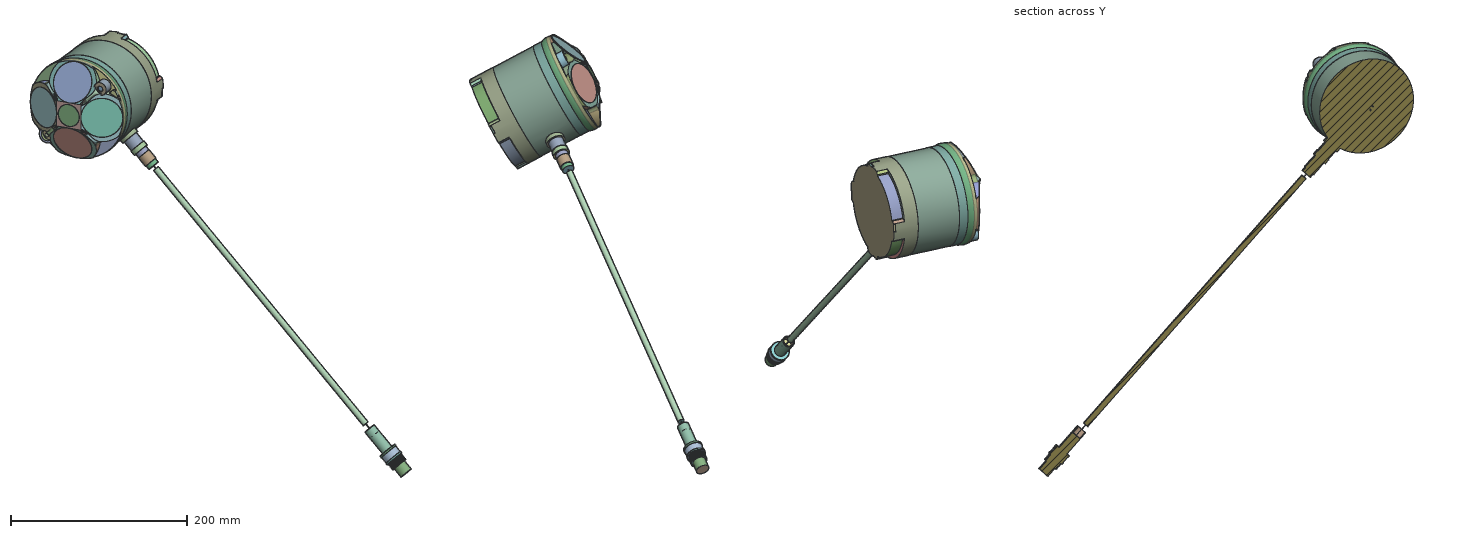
import cadquery as cq
import math


head_length = 126.5
back_ring_end = 30.5
body_end = 82.0
flare_start = 92.5
flange_start = 100.0
flange_front = 104.0
flange_diameter = 118.2
flange_radius = flange_diameter / 2
ring_radius = 57.5
body_step = 0.25
body_radius = ring_radius - body_step
flange_edge_inset = 0.5
clip_radius = flange_radius - flange_edge_inset

tab_count = 4
tab_width = 20.0
tab_length = 13.5
tab_height = 4.0
tab_flank_run = 3.0
catch_width = 9.0
catch_length = 2.5
catch_depth = 1.5

cup_count = 4
tilt = 25.0
cup_radius = 29.0
cup_depth = 36.5
disc_diameter = 47.5
disc_step = 0.5
disc_offset = 37.0
disc_plane_radius = 15.5
hub_width = 30.0
cup_blend_radius = 7.0
corner_tolerance = 0.05
centre_disc_diameter = 26.5

post_offset = 34.5
sensor_post_diameter = 15.5
sensor_post_front = 116.5
sensor_bore_diameter = 7.0
sensor_bore_depth = 2.5
drain_post_diameter = 19.0
drain_post_front = 112.5
drain_bore_diameter = 13.5
drain_pin_diameter = 4.5
drain_bore_depth = 4.5
pin_x = 47.5
pin_y = 27.0
pin_diameter = 10.0
pin_front = 107.7

cable_height = 56.5
cable_angle = -45.0
cable_diameter = 7.5
cable_start = 107.5
cable_end = 482.0
core_diameter = 1.0
plug_start = 489.0
sleeve_diameter = 13.5
sleeve_bore_diameter = 11.0
sleeve_bore_depth = 9.0
core_end = plug_start + sleeve_bore_depth
tip_diameter = 15.0
overall_length = 456.5
plug_end = (overall_length - flange_radius) * math.sqrt(2) - tip_diameter / 2

socket_steps = [
    (50.0, 61.5, 22.0),
    (61.5, 74.5, 18.0),
    (74.5, 80.5, 19.0),
    (80.5, 86.0, 15.0),
    (86.0, 98.0, 15.5),
    (98.0, 103.0, 13.5),
]
nut_start = 521.0
nut_end = 533.5
nut_diameter = 22.0
grip_diameter = 21.0
nut_rim = 2.5
thread_end = 542.5
thread_diameter = 19.0
thread_root_diameter = 18.0
thread_count = 4


def disc(radius, start, end, x=0, y=0):
    """Cylinder along Z from start to end."""
    return cq.Workplane("XY", origin=(x, y, start)).circle(radius).extrude(end - start)


def cable_shaft(start, end, diameter):
    """Cylinder along the cable direction."""
    angle = math.radians(cable_angle)
    along = (math.cos(angle), math.sin(angle), 0)
    origin = (start * along[0], start * along[1], cable_height)
    plane = cq.Plane(origin=origin, xDir=(0, 0, 1), normal=along)
    return cq.Workplane(plane).circle(diameter / 2).extrude(end - start)


def housing():
    flare_rise = flange_radius - ring_radius
    flare_run = flange_start - flare_start
    flare_arc_radius = (flare_rise**2 + flare_run**2) / (2 * flare_rise)
    return (
        cq.Workplane("XZ")
        .lineTo(ring_radius, 0)
        .lineTo(ring_radius, back_ring_end)
        .lineTo(body_radius, back_ring_end)
        .lineTo(body_radius, body_end)
        .lineTo(ring_radius, body_end)
        .lineTo(ring_radius, flare_start)
        .radiusArc((flange_radius, flange_start), -flare_arc_radius)
        .lineTo(clip_radius, flange_front)
        .lineTo(0, flange_front)
        .close()
        .revolve(360, (0, 0), (0, 1))
    )


def tab_cuts():
    """Material removed between the tabs, plus the small catch step on each tab."""
    inner = ring_radius - tab_height
    outer = ring_radius + tab_height
    cuts = disc(outer, 0, tab_length).cut(disc(inner, 0, tab_length))
    root = tab_width / 2 + tab_flank_run
    tip = tab_width / 2
    tab = (
        cq.Workplane("XY")
        .moveTo(-root, 0)
        .lineTo(-root, inner)
        .lineTo(-tip, ring_radius)
        .lineTo(-tip, outer)
        .lineTo(tip, outer)
        .lineTo(tip, ring_radius)
        .lineTo(root, inner)
        .lineTo(root, 0)
        .close()
        .extrude(tab_length)
    )
    catch = (
        cq.Workplane("XY")
        .center(tab_width / 2 - catch_width / 2, ring_radius)
        .rect(catch_width, 2 * catch_depth)
        .extrude(catch_length)
    )
    turns = [i * 360 / tab_count for i in range(tab_count)]
    for turn in turns:
        cuts = cuts.cut(tab.rotate((0, 0, 0), (0, 0, 1), turn))
    for turn in turns:
        cuts = cuts.union(catch.rotate((0, 0, 0), (0, 0, 1), turn))
    return cuts


def tilted_cylinder(radius, step):
    """Cylinder whose front face lies step below the tilted disc plane."""
    slope = math.radians(tilt)
    normal = (math.sin(slope), 0, math.cos(slope))
    face_z = head_length - (disc_offset - disc_plane_radius) * math.tan(slope)
    plane = cq.Plane(origin=(disc_offset, 0, face_z), xDir=(0, 1, 0), normal=normal)
    return cq.Workplane(plane).workplane(offset=-step).circle(radius).extrude(-cup_depth)


def pocket_corners(cups):
    """Upright edges where neighbouring cups meet at the inner end of each outer pocket."""
    corners = []
    for edge in cups.edges().vals():
        middle = edge.Center()
        on_diagonal = abs(abs(middle.x) - abs(middle.y)) < corner_tolerance
        if on_diagonal and math.hypot(middle.x, middle.y) > disc_offset:
            corners.append(edge)
    return corners


def transducers():
    """Cups, transducer discs and hub, all standing on the front face of the flange."""
    hub_front = head_length - disc_step
    hub_height = hub_front - flange_front
    cups = cq.Workplane("XY", origin=(0, 0, flange_front)).rect(hub_width, hub_width).extrude(hub_height)
    faces = disc(centre_disc_diameter / 2, flange_front, head_length)
    for i in range(cup_count):
        turn = i * 360 / cup_count
        cups = cups.union(tilted_cylinder(cup_radius, disc_step).rotate((0, 0, 0), (0, 0, 1), turn))
        faces = faces.union(tilted_cylinder(disc_diameter / 2, 0).rotate((0, 0, 0), (0, 0, 1), turn))
    cups = cups.intersect(disc(clip_radius, flange_front, hub_front))
    cups = cups.newObject(pocket_corners(cups)).fillet(cup_blend_radius)
    faces = faces.intersect(disc(clip_radius, flange_front, head_length))
    return cups.union(faces)


def post(diameter, front, x, y):
    """Round post on the flange, trimmed flush with the flange edge."""
    return disc(diameter / 2, flange_front, front, x, y).intersect(disc(clip_radius, flange_front, front))


def add_posts(head):
    sensor = (post_offset, post_offset)
    drain = (-post_offset, -post_offset)
    sensor_floor = sensor_post_front - sensor_bore_depth
    drain_floor = drain_post_front - drain_bore_depth
    head = head.union(post(sensor_post_diameter, sensor_post_front, *sensor))
    head = head.cut(disc(sensor_bore_diameter / 2, sensor_floor, head_length, *sensor))
    head = head.union(post(drain_post_diameter, drain_post_front, *drain))
    head = head.cut(disc(drain_bore_diameter / 2, drain_floor, head_length, *drain))
    head = head.union(post(drain_pin_diameter, drain_post_front, *drain))
    return head.union(post(pin_diameter, pin_front, pin_x, pin_y))


def plug():
    body = cable_shaft(plug_start, nut_start, sleeve_diameter)
    body = body.cut(cable_shaft(plug_start, plug_start + sleeve_bore_depth, sleeve_bore_diameter))
    body = body.union(cable_shaft(nut_start, nut_end, grip_diameter))
    for rim_start in (nut_start, nut_end - nut_rim):
        body = body.union(cable_shaft(rim_start, rim_start + nut_rim, nut_diameter))
    body = body.union(cable_shaft(nut_end, thread_end, thread_root_diameter))
    pitch = (thread_end - nut_end) / thread_count
    for i in range(thread_count):
        ridge_start = nut_end + (i + 0.5) * pitch
        body = body.union(cable_shaft(ridge_start, ridge_start + pitch / 2, thread_diameter))
    return body.union(cable_shaft(thread_end, plug_end, tip_diameter))


head = add_posts(housing().cut(tab_cuts()).union(transducers()))

part = head
for start, end, diameter in socket_steps:
    part = part.union(cable_shaft(start, end, diameter))
part = part.union(cable_shaft(cable_start, cable_end, cable_diameter))
part = part.union(plug())
part = part.union(cable_shaft(socket_steps[-1][0], core_end, core_diameter))

result = part.rotate((0, 0, 0), (1, 0, 0), 90)